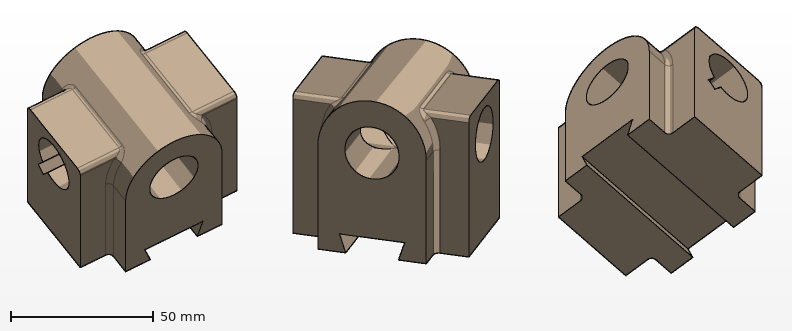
import cadquery as cq
import math

body_length = 55.0
overall_width = 65.0
overall_height = 60.0

body_radius = 20.0
axis_height = overall_height - body_radius
lug_length = 35.0
lug_height = 53.95
fillet_radius = 2.0

bore_diameter = 20.0
key_width = 4.0
key_reach = 15.0
key_angle = 55.0
key_depth = 10.0

dovetail_roof_width = 24.0
dovetail_depth = 7.0
dovetail_flank_angle = 18.0


def make_body():
    """Upright block with a half-cylinder top, extruded along X."""
    return (
        cq.Workplane("YZ")
        .moveTo(-body_radius, 0)
        .lineTo(-body_radius, axis_height)
        .threePointArc((0, overall_height), (body_radius, axis_height))
        .lineTo(body_radius, 0)
        .close()
        .extrude(body_length / 2, both=True)
    )


def make_lugs():
    """Bar through the body along Y with rounded upper edges."""
    bar = cq.Workplane("XY").box(lug_length, overall_width, lug_height, centered=(True, True, False))
    return bar.edges("|Y and >Z").fillet(fillet_radius)


def fillet_lug_roots(part):
    """Blend the edges where the lugs meet the body."""
    margin = 0.05
    root_box = cq.selectors.BoxSelector(
        (-lug_length / 2 - margin, -body_radius - margin, margin),
        (lug_length / 2 + margin, body_radius + margin, lug_height + margin),
        boundingbox=True,
    )
    return part.edges(root_box).fillet(fillet_radius)


def make_bore(plane):
    """Through-bore at axis height, normal to the given plane."""
    return (
        cq.Workplane(plane)
        .center(0, axis_height)
        .circle(bore_diameter / 2)
        .extrude(overall_width, both=True)
    )


def make_key_recess():
    """Blind slot running outwards from the bore in the -Y face."""
    return (
        cq.Workplane("XZ", origin=(0, -overall_width / 2, axis_height))
        .transformed(rotate=(0, 0, 180 + key_angle))
        .center(key_reach / 2, 0)
        .rect(key_reach, key_width)
        .extrude(-key_depth)
    )


def make_dovetail():
    """Slot that widens upwards from the underside."""
    roof_half = dovetail_roof_width / 2
    mouth_half = roof_half - dovetail_depth * math.tan(math.radians(dovetail_flank_angle))
    return (
        cq.Workplane("YZ")
        .polyline([
            (-mouth_half, 0),
            (-roof_half, dovetail_depth),
            (roof_half, dovetail_depth),
            (mouth_half, 0),
        ])
        .close()
        .extrude(body_length, both=True)
    )


result = fillet_lug_roots(make_body().union(make_lugs()))
result = result.cut(make_bore("YZ")).cut(make_bore("XZ"))
result = result.cut(make_key_recess()).cut(make_dovetail())